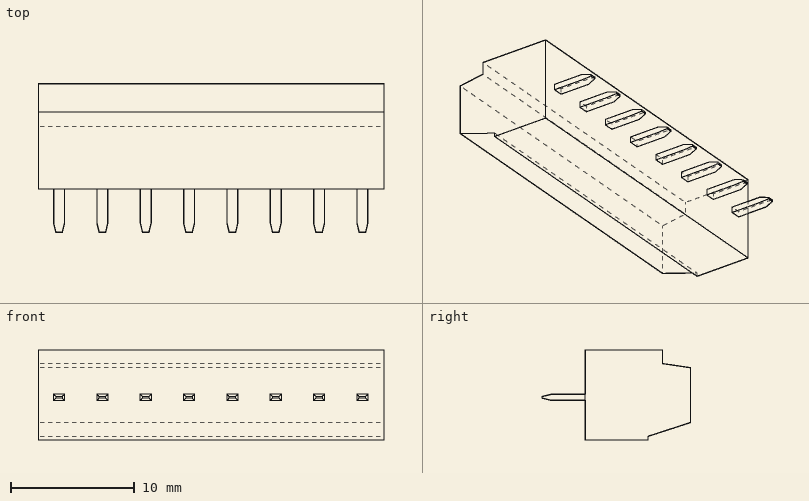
import cadquery as cq

housing_length = 27.95
housing_depth = 8.52
housing_height = 7.3
top_step_depth = 2.25
top_step_drop = 1.1
back_top_drop = 1.42
bottom_step_depth = 3.45
bottom_step_rise = 0.3
back_bottom_rise = 1.42

pin_count = 8
first_pin_x = 1.68
pin_row_span = 24.5
pin_pitch = pin_row_span / (pin_count - 1)
pin_z = 3.46
pin_width = 0.9
pin_thickness = 0.5
pin_length = 3.5
tip_length = 0.75
tip_width = 0.53
tip_thickness = 0.15
shank_length = pin_length - tip_length


def make_housing():
    """Stepped and tapered block with its front face on Y = 0."""
    profile = [
        (0, 0),
        (housing_depth - bottom_step_depth, 0),
        (housing_depth - bottom_step_depth, bottom_step_rise),
        (housing_depth, back_bottom_rise),
        (housing_depth, housing_height - back_top_drop),
        (housing_depth - top_step_depth, housing_height - top_step_drop),
        (housing_depth - top_step_depth, housing_height),
        (0, housing_height),
    ]
    return cq.Workplane("YZ").polyline(profile).close().extrude(housing_length)


def make_pin(x):
    """Rectangular pin with a tip that tapers on all four sides."""
    base = cq.Workplane("XZ", origin=(x, 0, pin_z))
    shank = base.rect(pin_width, pin_thickness).extrude(shank_length)
    tip = (
        base.workplane(offset=shank_length)
        .rect(pin_width, pin_thickness)
        .workplane(offset=tip_length)
        .rect(tip_width, tip_thickness)
        .loft(ruled=True)
    )
    return shank.union(tip)


result = make_housing()
for index in range(pin_count):
    result = result.union(make_pin(first_pin_x + index * pin_pitch))